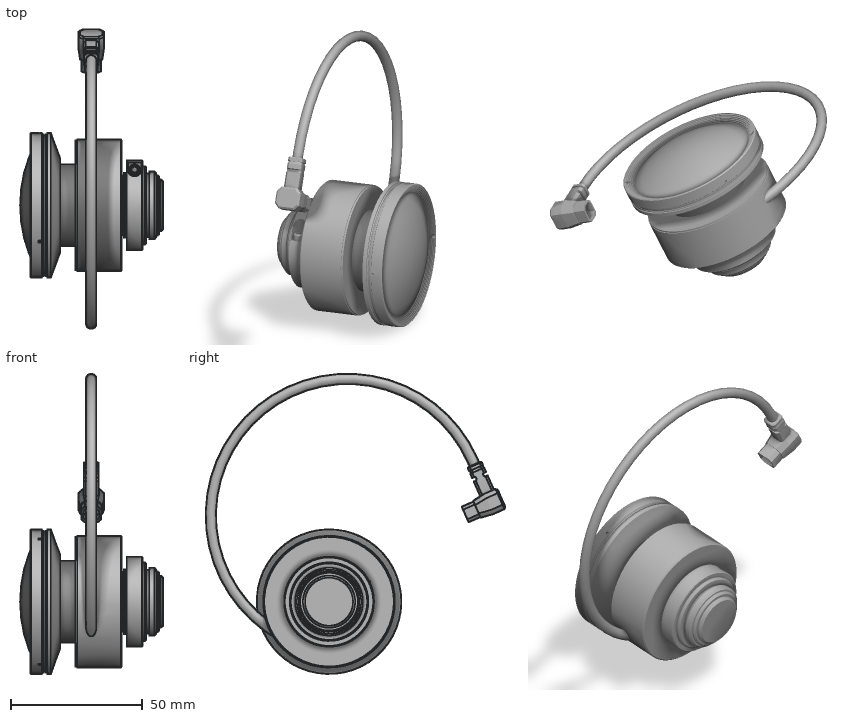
import cadquery as cq
import math


dome_sphere_radius = 51.0
dome_rim_radius = 23.6

rim_front_x = 3.9
rim_end_x = 11.7
rim_radius = 55.0 / 2
rim_edge_chamfer = 0.3
rim_groove_start = 8.5
rim_groove_end = 10.3
rim_groove_radius = 26.9
rim_inner_groove_start = 9.0
rim_inner_groove_end = 9.8
rim_inner_groove_radius = 26.6

rear_cone_start_radius = 26.1
rear_cone_start_x = 12.2
rear_cone_end_radius = 17.8
hub_start_x = 15.3
hub_radius = 15.6

barrel_start_x = 21.0
barrel_end_x = 38.6
barrel_radius = 50.0 / 2
barrel_front_lip = 0.7
barrel_front_lip_step = 0.3
barrel_rear_chamfer = 0.5

neck_radius = 11.3
neck_thread_start_x = 39.2
neck_thread_radius = 12.3
neck_thread_count = 3

collar_start_x = 40.5
collar_end_x = 46.5
collar_radius = 17.1
collar_chamfer = 0.3

shoulder_end_x = 47.9
shoulder_radius = 14.9
shoulder_chamfer = 0.5
mount_neck_end_x = 49.1
mount_neck_radius = 12.2
mount_thread_end_x = 51.6
mount_thread_radius = 12.9
mount_thread_chamfer = 0.7
mount_step_end_x = 52.8
mount_step_radius = 23.0 / 2
mount_step_chamfer = 0.6
rear_ring_radius = 19.8 / 2
rear_ring_chamfer = 0.8
lens_end_x = 54.3

front_step_count = 6
front_recess_radius = 27.0

spanner_slot_width = 1.8
spanner_slot_inner_radius = 23.8
spanner_slot_outer_radius = 26.9
spanner_slot_floor_x = 5.4

rim_hole_diameter = 1.1
rim_hole_depth = 1.1
rim_hole_x = 7.5
rim_hole_count = 3
rim_hole_first_angle = 60

screw_y = 13.6
screw_pocket_radius = 2.5
screw_pocket_edge_y = 16.2
screw_head_diameter = 4.0
screw_head_height = 2.5
screw_head_chamfer = 0.3
screw_socket_width = 2.5
screw_socket_depth = 1.1

cable_x = 27.0
cable_diameter = 4.0
cable_loop_radius = 51.9
cable_start_angle = -60
cable_end_angle = 156
top_z = 86.5
front_y = -46.8

ferrule_length = 1.8
head_size = 5.8
head_chamfer = 0.9
head_top_chamfer = 0.3
head_neck_start = 3.4
head_neck_length = 1.0
head_neck_size = 5.0
head_end = 6.3
notch_length = 1.4
notch_depth = 1.4
notch_fillet = 0.5

housing_axis_depth = 17.8
housing_back_y = 4.2
housing_taper_start_y = -1.1
housing_nose_start_y = -6.0
housing_end_y = -11.0
housing_width = 9.8
housing_height = 8.4
housing_taper_width = 8.5
housing_taper_height = 7.1
nose_width = 7.5
nose_height = 6.5
housing_corner = 1.8
nose_corner = 1.3
housing_back_chamfer = 0.7
socket_wall = 0.7
socket_depth = 4.6
pin_diameter = 1.1
pin_pitch = 2.5
pin_length = 2.3


def dome_x(radius):
    """X of the spherical front element at a given distance from the lens axis."""
    return dome_sphere_radius - math.sqrt(dome_sphere_radius**2 - radius**2)


def front_points():
    """Stepped funnel from the edge of the dome out to the rim face."""
    dome_edge_x = dome_x(dome_rim_radius)
    step_width = (front_recess_radius - dome_rim_radius) / front_step_count
    step_rise = (dome_edge_x - rim_front_x) / front_step_count
    points = []
    for step in range(front_step_count):
        radius = dome_rim_radius + (step + 1) * step_width
        points.append((dome_edge_x - step * step_rise, radius))
        points.append((dome_edge_x - (step + 1) * step_rise, radius))
    return points


def neck_thread_points():
    """Saw-tooth outline of the coarse ridges in front of the collar."""
    pitch = (collar_start_x - neck_thread_start_x) / neck_thread_count
    points = []
    for ridge in range(neck_thread_count):
        ridge_x = neck_thread_start_x + ridge * pitch
        points.append((ridge_x, neck_radius))
        points.append((ridge_x + pitch / 2, neck_thread_radius))
    points.append((collar_start_x, neck_radius))
    return points


def make_lens():
    """Half outline revolved about the X axis."""
    middle_radius = dome_rim_radius / 2
    dome_middle = (dome_x(middle_radius), middle_radius)
    dome_edge = (dome_x(dome_rim_radius), dome_rim_radius)
    points = front_points() + [
        (rim_front_x, rim_radius - rim_edge_chamfer),
        (rim_front_x + rim_edge_chamfer, rim_radius),
        (rim_groove_start - rim_edge_chamfer, rim_radius),
        (rim_groove_start, rim_groove_radius),
        (rim_inner_groove_start, rim_groove_radius),
        (rim_inner_groove_start, rim_inner_groove_radius),
        (rim_inner_groove_end, rim_inner_groove_radius),
        (rim_inner_groove_end, rim_groove_radius),
        (rim_groove_end, rim_groove_radius),
        (rim_groove_end, rim_radius),
        (rim_end_x, rim_radius),
        (rear_cone_start_x, rear_cone_start_radius),
        (hub_start_x, rear_cone_end_radius),
        (hub_start_x, hub_radius),
        (barrel_start_x, hub_radius),
        (barrel_start_x, barrel_radius - barrel_front_lip_step),
        (barrel_start_x + barrel_front_lip, barrel_radius - barrel_front_lip_step),
        (barrel_start_x + barrel_front_lip, barrel_radius),
        (barrel_end_x - barrel_rear_chamfer, barrel_radius),
        (barrel_end_x, barrel_radius - barrel_rear_chamfer),
        (barrel_end_x, neck_radius),
    ]
    points += neck_thread_points()
    points += [
        (collar_start_x, collar_radius),
        (collar_end_x - collar_chamfer, collar_radius),
        (collar_end_x, collar_radius - collar_chamfer),
        (collar_end_x, shoulder_radius),
        (shoulder_end_x - shoulder_chamfer, shoulder_radius),
        (shoulder_end_x, shoulder_radius - shoulder_chamfer),
        (shoulder_end_x, mount_neck_radius),
        (mount_neck_end_x, mount_neck_radius),
        (mount_neck_end_x, mount_thread_radius),
        (mount_thread_end_x - mount_thread_chamfer, mount_thread_radius),
        (mount_thread_end_x, mount_thread_radius - mount_thread_chamfer),
        (mount_thread_end_x, mount_step_radius),
        (mount_step_end_x - mount_step_chamfer, mount_step_radius),
        (mount_step_end_x, mount_step_radius - mount_step_chamfer),
        (mount_step_end_x, rear_ring_radius),
        (lens_end_x - rear_ring_chamfer, rear_ring_radius),
        (lens_end_x, rear_ring_radius - rear_ring_chamfer),
        (lens_end_x, 0),
    ]
    outline = cq.Workplane("XY").threePointArc(dome_middle, dome_edge)
    for point in points:
        outline = outline.lineTo(*point)
    return outline.close().revolve(360, (0, 0, 0), (1, 0, 0))


def cut_spanner_slots(lens):
    """Two round-ended slots in the funnel, on opposite sides of the axis."""
    centre_radius = spanner_slot_outer_radius - spanner_slot_width / 2
    straight = centre_radius - spanner_slot_inner_radius
    slot = (
        cq.Workplane("YZ", origin=(rim_front_x, 0, 0))
        .center(spanner_slot_inner_radius + straight / 2, 0)
        .rect(straight, spanner_slot_width)
        .extrude(spanner_slot_floor_x - rim_front_x)
    )
    slot_end = (
        cq.Workplane("YZ", origin=(rim_front_x, 0, 0))
        .center(centre_radius, 0)
        .circle(spanner_slot_width / 2)
        .extrude(spanner_slot_floor_x - rim_front_x)
    )
    slot = slot.union(slot_end)
    return lens.cut(slot).cut(slot.mirror("XZ"))


def cut_rim_holes(lens):
    """Small radial holes spaced evenly around the rim."""
    for index in range(rim_hole_count):
        angle = rim_hole_first_angle + index * 360 / rim_hole_count
        hole = (
            cq.Workplane("XZ", origin=(rim_hole_x, -rim_radius + rim_hole_depth, 0))
            .circle(rim_hole_diameter / 2)
            .extrude(2 * rim_hole_depth)
            .rotate((0, 0, 0), (1, 0, 0), -angle)
        )
        lens = lens.cut(hole)
    return lens


def add_clamp_screw(lens):
    """Open pocket in the collar, holding a hexagon socket screw."""
    screw_x = (collar_start_x + collar_end_x) / 2
    floor_z = math.sqrt(collar_radius**2 - screw_pocket_edge_y**2)
    pocket_height = collar_radius - floor_z
    base = cq.Workplane("XY", origin=(screw_x, screw_y, floor_z))
    pocket = base.circle(screw_pocket_radius).extrude(pocket_height)
    opening = (
        base.center(0, screw_pocket_radius)
        .rect(2 * screw_pocket_radius, 2 * screw_pocket_radius)
        .extrude(pocket_height)
    )
    screw = (
        base.circle(screw_head_diameter / 2)
        .extrude(screw_head_height)
        .faces(">Z")
        .chamfer(screw_head_chamfer)
        .faces(">Z")
        .workplane()
        .transformed(rotate=(0, 0, 90))
        .polygon(6, screw_socket_width)
        .cutBlind(-screw_socket_depth)
    )
    return lens.cut(pocket).cut(opening).union(screw)


def loop_point(angle):
    """(Y, Z) on the cable centre line."""
    centre_y = front_y + cable_diameter / 2 + cable_loop_radius
    centre_z = top_z - cable_diameter / 2 - cable_loop_radius
    turn = math.radians(angle)
    return (
        centre_y - cable_loop_radius * math.cos(turn),
        centre_z + cable_loop_radius * math.sin(turn),
    )


def make_cable():
    """Round cable along one arc, starting inside the barrel."""
    start_y, start_z = loop_point(cable_start_angle)
    middle = loop_point((cable_start_angle + cable_end_angle) / 2)
    path = (
        cq.Workplane("YZ", origin=(cable_x, 0, 0))
        .moveTo(start_y, start_z)
        .threePointArc(middle, loop_point(cable_end_angle))
    )
    start_turn = math.radians(cable_start_angle)
    section = cq.Plane(
        origin=(cable_x, start_y, start_z),
        xDir=(1, 0, 0),
        normal=(0, math.sin(start_turn), math.cos(start_turn)),
    )
    return cq.Workplane(section).circle(cable_diameter / 2).sweep(path)


def octagon(workplane, width, height, corner):
    """Rectangle with its four corners cut off at 45 degrees."""
    x, y = width / 2, height / 2
    return workplane.polyline([
        (x, y - corner), (x - corner, y), (corner - x, y), (-x, y - corner),
        (-x, corner - y), (corner - x, -y), (x - corner, -y), (x, corner - y),
    ]).close()


def make_stem():
    """Ferrule, grooved head and notched stem under the cable end."""
    ferrule = cq.Workplane("XY").circle(cable_diameter / 2).extrude(-ferrule_length)
    shaft_top = cq.Workplane("XY", origin=(0, 0, -ferrule_length))
    shaft = (
        octagon(shaft_top, head_size, head_size, head_chamfer)
        .extrude(ferrule_length - housing_axis_depth)
        .faces(">Z")
        .chamfer(head_top_chamfer)
    )

    neck_base = cq.Workplane("XY", origin=(0, 0, -head_neck_start))
    neck_top = octagon(neck_base, head_neck_size, head_neck_size, head_chamfer)
    neck_flare = octagon(
        neck_top.workplane(offset=-head_neck_length), head_size, head_size, head_chamfer
    ).loft(ruled=True)
    neck_ring = (
        neck_base.rect(2 * head_size, 2 * head_size)
        .extrude(-head_neck_length)
        .cut(neck_flare)
    )
    notches = (
        cq.Workplane("YZ", origin=(0, 0, -head_end - notch_length / 2))
        .pushPoints([(-head_size / 2, 0), (head_size / 2, 0)])
        .rect(2 * notch_depth, notch_length)
        .extrude(head_size, both=True)
        .edges("|X")
        .fillet(notch_fillet)
    )
    return ferrule.union(shaft.cut(neck_ring).cut(notches))


def housing_section(y, width, height, corner=housing_corner):
    """Octagonal outline across the housing at a station along its axis."""
    station = cq.Workplane("XZ", origin=(0, y, -housing_axis_depth))
    return octagon(station, width, height, corner)


def make_housing():
    """Octagonal block that tapers to a nose with a pin socket in its end."""
    block = (
        housing_section(housing_back_y, housing_width, housing_height)
        .extrude(housing_back_y - housing_taper_start_y)
        .faces(">Y")
        .chamfer(housing_back_chamfer)
    )
    taper_length = housing_taper_start_y - housing_nose_start_y
    taper = octagon(
        housing_section(housing_taper_start_y, housing_width, housing_height)
        .workplane(offset=taper_length),
        housing_taper_width, housing_taper_height, housing_corner,
    ).loft(ruled=True)
    nose = housing_section(housing_nose_start_y, nose_width, nose_height, nose_corner).extrude(
        housing_nose_start_y - housing_end_y
    )
    socket = housing_section(
        housing_end_y + socket_depth,
        nose_width - 2 * socket_wall,
        nose_height - 2 * socket_wall,
        nose_corner,
    ).extrude(socket_depth)
    pins = (
        cq.Workplane("XZ", origin=(0, housing_end_y + socket_depth, -housing_axis_depth))
        .rarray(pin_pitch, pin_pitch, 2, 2)
        .circle(pin_diameter / 2)
        .extrude(pin_length)
    )
    return block.union(taper).union(nose).cut(socket).union(pins)


def make_connector():
    """Connector turned and moved so that its stem continues the cable."""
    end_y, end_z = loop_point(cable_end_angle)
    return (
        make_stem()
        .union(make_housing())
        .rotate((0, 0, 0), (1, 0, 0), 180 - cable_end_angle)
        .translate((cable_x, end_y, end_z))
    )


lens_body = make_lens()
lens_body = cut_spanner_slots(lens_body)
lens_body = cut_rim_holes(lens_body)
lens_body = add_clamp_screw(lens_body)
result = lens_body.union(make_cable()).union(make_connector())